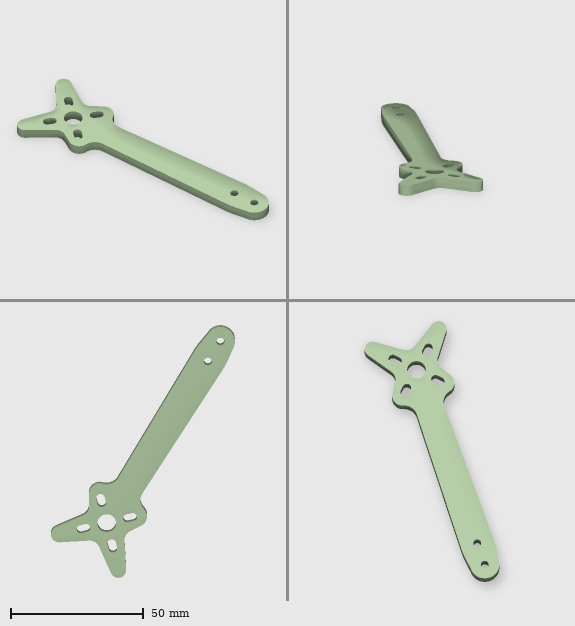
import cadquery as cq
import math

thickness = 4.0

long_arm_reach = 18.5
long_arm_tip_radius = 3.0
short_arm_reach = 11.5
short_arm_tip_radius = 4.0
valley_reach = 12.5
valley_radius = 4.0

root_half_width = 5.45
root_fillet_radius = 5.0
shoulder_center_x = 73.4
shoulder_half_width = 6.4
shoulder_radius = 30.0
end_x = 82.0
end_radius = 5.5

hub_hole_diameter = 7.0
slot_middle_reach = 9.0
slot_center_distance = 2.0
slot_width = 3.2
boom_hole_diameter = 3.0
boom_hole_spacing = 9.0

FRONT_DIAGONAL = 45
REAR_DIAGONAL = 135
DIAGONALS = (FRONT_DIAGONAL, REAR_DIAGONAL, -FRONT_DIAGONAL, -REAR_DIAGONAL)

LEFT_TURN = 1
RIGHT_TURN = -1
SAME_POINT = 1e-6


def polar(reach, angle):
    """Offset of the given length in a direction in degrees."""
    return (reach * math.cos(math.radians(angle)), reach * math.sin(math.radians(angle)))


short_tip = polar(short_arm_reach, FRONT_DIAGONAL)
root_fillet_y = root_half_width + root_fillet_radius
tip_to_fillet = short_arm_tip_radius + root_fillet_radius
root_fillet_x = short_tip[0] + math.sqrt(tip_to_fillet**2 - (root_fillet_y - short_tip[1]) ** 2)

upper_rounds = [
    ((-valley_reach, 0), valley_radius, LEFT_TURN),
    (polar(long_arm_reach, REAR_DIAGONAL), long_arm_tip_radius, RIGHT_TURN),
    ((0, valley_reach), valley_radius, LEFT_TURN),
    (short_tip, short_arm_tip_radius, RIGHT_TURN),
    ((root_fillet_x, root_fillet_y), root_fillet_radius, LEFT_TURN),
    ((shoulder_center_x, shoulder_half_width - shoulder_radius), shoulder_radius, RIGHT_TURN),
]
end_corner = ((end_x, end_radius), 0, RIGHT_TURN)


def tangent_heading(first, second):
    """Heading of the straight line that leaves one round and runs into the next."""
    (x1, y1), radius1, turn1 = first
    (x2, y2), radius2, turn2 = second
    sideways = turn1 * radius1 - turn2 * radius2
    swing_sine = max(-1, min(1, sideways / math.hypot(x2 - x1, y2 - y1)))
    return math.atan2(y2 - y1, x2 - x1) + math.asin(swing_sine)


def point_at_heading(arc_round, heading):
    """Point of a round where the outline has the given heading."""
    (x, y), radius, turn = arc_round
    return (x + turn * radius * math.sin(heading), y - turn * radius * math.cos(heading))


def upper_half():
    """Plate on the +Y side of the X axis."""
    stops = upper_rounds + [end_corner]
    headings = [math.pi / 2] + [tangent_heading(a, b) for a, b in zip(stops, stops[1:])]

    position = point_at_heading(upper_rounds[0], headings[0])
    outline = cq.Workplane("XY").moveTo(*position)
    for arc_round, entry, leave in zip(upper_rounds, headings, headings[1:]):
        arc_start = point_at_heading(arc_round, entry)
        if math.dist(position, arc_start) > SAME_POINT:
            outline = outline.lineTo(*arc_start)
        position = point_at_heading(arc_round, leave)
        outline = outline.threePointArc(point_at_heading(arc_round, (entry + leave) / 2), position)

    end_middle = polar(end_radius, FRONT_DIAGONAL)
    return (
        outline.lineTo(end_x, end_radius)
        .threePointArc((end_x + end_middle[0], end_middle[1]), (end_x + end_radius, 0))
        .close()
        .extrude(thickness)
    )


def plate():
    """Full plate, symmetric about the X axis."""
    half = upper_half()
    return half.union(half.mirror("XZ")).clean()


def hub_cutters():
    """Hub hole and the four slots around it, which point at the hub centre."""
    cutters = cq.Workplane("XY").circle(hub_hole_diameter / 2).extrude(thickness)
    for angle in DIAGONALS:
        slot = (
            cq.Workplane("XY")
            .center(slot_middle_reach, 0)
            .slot2D(slot_center_distance + slot_width, slot_width)
            .extrude(thickness)
            .rotate((0, 0, 0), (0, 0, 1), angle)
        )
        cutters = cutters.union(slot)
    return cutters


def boom_hole_cutters():
    """Two holes near the boom end, the outer one concentric with the end round."""
    positions = [(end_x - boom_hole_spacing, 0), (end_x, 0)]
    return cq.Workplane("XY").pushPoints(positions).circle(boom_hole_diameter / 2).extrude(thickness)


result = plate().cut(hub_cutters()).cut(boom_hole_cutters())